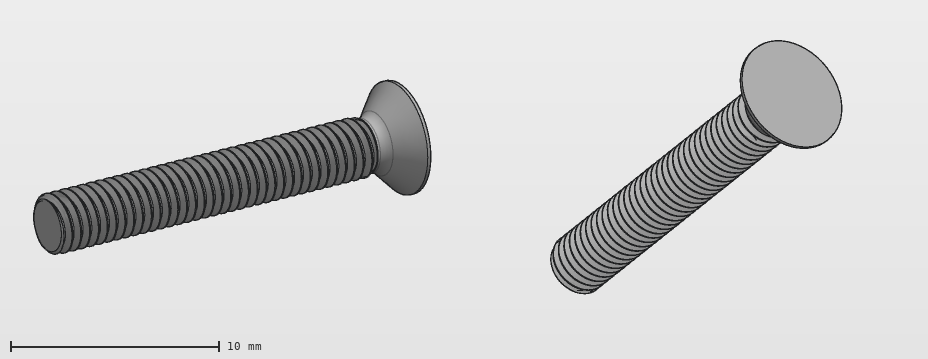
import cadquery as cq
import math

length = 20.0
head_radius = 2.8
rim_height = 0.18
cone_angle = math.radians(45)
shank_radius = 1.35
neck_fillet = 0.8

major_radius = 1.5
pitch = 0.5
thread_start = 2.08
end_chamfer = 0.2
flank_angle = math.radians(30)
crest_flat = pitch / 8
root_flat = pitch / 6
root_radius = major_radius - (pitch - crest_flat - root_flat) / 2 / math.tan(flank_angle)

ridge_overlap = 0.01
trim_clearance = 0.1


def turned_body():
    """Head with its cone blended into the plain shank, followed by the core of the thread."""
    cone_end = -rim_height - (head_radius - shank_radius) / math.tan(cone_angle)
    blend_length = neck_fillet * math.tan(cone_angle / 2)
    blend_start = (
        shank_radius + blend_length * math.sin(cone_angle),
        cone_end + blend_length * math.cos(cone_angle),
    )
    blend_end = (shank_radius, cone_end - blend_length)
    return (
        cq.Workplane("XZ")
        .lineTo(head_radius, 0)
        .lineTo(head_radius, -rim_height)
        .lineTo(*blend_start)
        .tangentArcPoint(blend_end, relative=False)
        .lineTo(shank_radius, -thread_start)
        .lineTo(root_radius, -thread_start)
        .lineTo(root_radius, -length)
        .lineTo(0, -length)
        .close()
        .revolve(360, (0, 0, 0), (0, 1, 0))
    )


def thread_ridge():
    """Helical ridge that runs past both ends of the thread; its crest meets the tip on the +X side."""
    turns = math.ceil((length - thread_start) / pitch) + 2
    bottom = -length - pitch
    base_radius = root_radius - ridge_overlap
    half_crest = crest_flat / 2
    half_base = half_crest + (major_radius - base_radius) * math.tan(flank_angle)
    helix = cq.Wire.makeHelix(pitch, turns * pitch, root_radius, cq.Vector(0, 0, bottom))
    return (
        cq.Workplane("XZ")
        .moveTo(base_radius, bottom - half_base)
        .lineTo(major_radius, bottom - half_crest)
        .lineTo(major_radius, bottom + half_crest)
        .lineTo(base_radius, bottom + half_base)
        .close()
        .sweep(cq.Workplane(helix), isFrenet=True)
    )


def thread_limits():
    """Body that trims the ridge flat at both ends and gives it a 45 degree chamfer there."""
    end_radius = major_radius - end_chamfer
    outer_radius = major_radius + trim_clearance
    chamfer_run = outer_radius - end_radius
    return (
        cq.Workplane("XZ")
        .moveTo(0, -length)
        .lineTo(end_radius, -length)
        .lineTo(outer_radius, -length + chamfer_run)
        .lineTo(outer_radius, -thread_start - chamfer_run)
        .lineTo(end_radius, -thread_start)
        .lineTo(0, -thread_start)
        .close()
        .revolve(360, (0, 0, 0), (0, 1, 0))
    )


thread = thread_ridge().intersect(thread_limits())
screw = turned_body().union(thread)
result = screw.rotate((0, 0, 0), (1, 0, 0), -90)